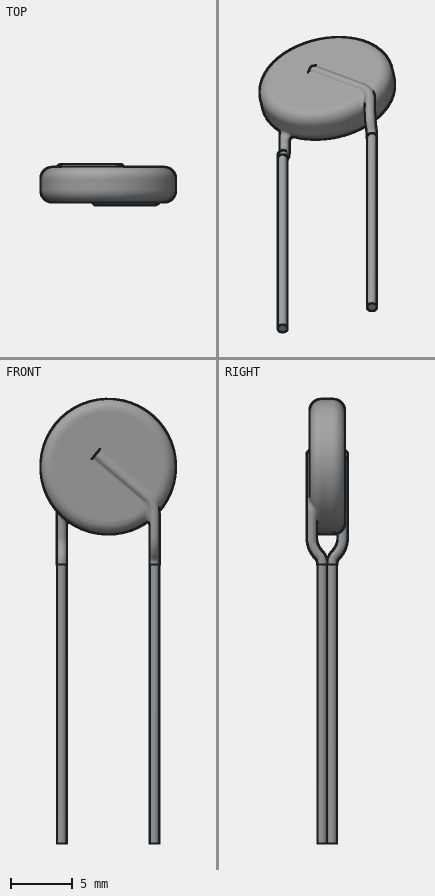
import cadquery as cq
import math

DISC_DIAMETER = 11.0
DISC_THICKNESS = 2.9
DISC_EDGE_RADIUS = 1.0

OVERALL_HEIGHT = 36.0
OVERALL_DEPTH = 3.35
COATED_DIAMETER = 0.85
BARE_DIAMETER = 0.8
LEAD_PITCH = 7.5
COATED_RADIUS = COATED_DIAMETER / 2
LEAD_X = LEAD_PITCH / 2
UPPER_LEAD_Y = OVERALL_DEPTH / 2 - COATED_RADIUS
LOWER_LEAD_Y = BARE_DIAMETER / 2
LEAD_BOTTOM_Z = DISC_DIAMETER / 2 - OVERALL_HEIGHT

CONTACT_END_X = -1.0
CONTACT_SLOPE = math.radians(40)
CONTACT_BEND_RADIUS = 1.9
CONTACT_BEND_END_Z = -3.86
CONTACT_BLEND_RADIUS = 0.3

KINK_TOP_Z = -5.74
KINK_ANGLE = math.radians(45)
KINK_UPPER_RADIUS = 2.0
COATING_END_Z = -7.9

TOLERANCE = 1e-3


def make_disc():
    front_face = cq.Workplane("XZ", origin=(0, -DISC_THICKNESS / 2, 0))
    disc = front_face.circle(DISC_DIAMETER / 2).extrude(-DISC_THICKNESS)
    return disc.edges().fillet(DISC_EDGE_RADIUS)


def contact_points():
    """Free end, bend start and bend middle of the slanted stretch, as (x, z)."""
    centre_x = LEAD_X - CONTACT_BEND_RADIUS

    def on_bend(angle):
        return (
            centre_x + CONTACT_BEND_RADIUS * math.cos(angle),
            CONTACT_BEND_END_Z + CONTACT_BEND_RADIUS * math.sin(angle),
        )

    bend_sweep = math.pi / 2 - CONTACT_SLOPE
    bend_start = on_bend(bend_sweep)
    rise = (bend_start[0] - CONTACT_END_X) * math.tan(CONTACT_SLOPE)
    free_end = (CONTACT_END_X, bend_start[1] + rise)
    return free_end, bend_start, on_bend(bend_sweep / 2)


def kink_points():
    """Points of the S-bend after its top, as (y, z) with y measured outwards."""
    def offset(radius, angle):
        return radius * (1 - math.cos(angle)), radius * math.sin(angle)

    shift = UPPER_LEAD_Y - LOWER_LEAD_Y
    lower_radius = shift / (1 - math.cos(KINK_ANGLE)) - KINK_UPPER_RADIUS
    half_in, half_down = offset(KINK_UPPER_RADIUS, KINK_ANGLE / 2)
    full_in, full_down = offset(KINK_UPPER_RADIUS, KINK_ANGLE)
    low_half_in, low_half_down = offset(lower_radius, KINK_ANGLE / 2)
    low_full_down = offset(lower_radius, KINK_ANGLE)[1]
    end_z = KINK_TOP_Z - full_down - low_full_down
    return (
        (UPPER_LEAD_Y - half_in, KINK_TOP_Z - half_down),
        (UPPER_LEAD_Y - full_in, KINK_TOP_Z - full_down),
        (LOWER_LEAD_Y + low_half_in, end_z + low_half_down),
        (LOWER_LEAD_Y, end_z),
    )


def make_coated_lead():
    """Coated part of the lead on the -Y face, from its free end to the coating end."""
    free_end, bend_start, bend_middle = [
        cq.Vector(x, -UPPER_LEAD_Y, z) for x, z in contact_points()
    ]
    bend_end = cq.Vector(LEAD_X, -UPPER_LEAD_Y, CONTACT_BEND_END_Z)
    kink_top = cq.Vector(LEAD_X, -UPPER_LEAD_Y, KINK_TOP_Z)
    upper_middle, inflection, lower_middle, kink_end = [
        cq.Vector(LEAD_X, -y, z) for y, z in kink_points()
    ]
    coating_end = cq.Vector(LEAD_X, -LOWER_LEAD_Y, COATING_END_Z)
    path = cq.Wire.assembleEdges(
        [
            cq.Edge.makeLine(free_end, bend_start),
            cq.Edge.makeThreePointArc(bend_start, bend_middle, bend_end),
            cq.Edge.makeLine(bend_end, kink_top),
            cq.Edge.makeThreePointArc(kink_top, upper_middle, inflection),
            cq.Edge.makeThreePointArc(inflection, lower_middle, kink_end),
            cq.Edge.makeLine(kink_end, coating_end),
        ]
    )
    end_plane = cq.Plane(origin=free_end, xDir=(0, 1, 0), normal=bend_start - free_end)
    return cq.Workplane(end_plane).circle(COATED_RADIUS).sweep(cq.Workplane(path))


def make_bare_lead():
    return (
        cq.Workplane("XY", origin=(LEAD_X, -LOWER_LEAD_Y, LEAD_BOTTOM_Z))
        .circle(BARE_DIAMETER / 2)
        .extrude(COATING_END_Z - LEAD_BOTTOM_Z)
    )


def blend_into_disc(body):
    """Round the long straight corners where the slanted stretch meets the front disc face."""
    front_y = -DISC_THICKNESS / 2

    def is_long_corner(edge):
        on_face = abs(edge.Center().y - front_y) < TOLERANCE
        return on_face and edge.geomType() == "LINE" and edge.Length() > COATED_DIAMETER

    corners = [edge for edge in body.edges().vals() if is_long_corner(edge)]
    return body.newObject(corners).fillet(CONTACT_BLEND_RADIUS)


def half_turn(shape):
    return shape.rotate((0, 0, 0), (0, 0, 1), 180)


lead = make_coated_lead().union(make_bare_lead())
disc_with_front_lead = blend_into_disc(make_disc().union(lead))
result = disc_with_front_lead.union(half_turn(disc_with_front_lead))